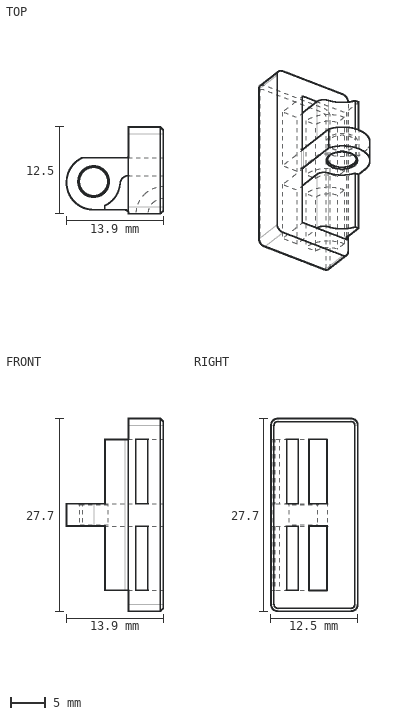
import cadquery as cq
import math


block_depth = 5.0
block_width = 12.5
block_height = 27.7
corner_radius = 1.0
rim_chamfer = 0.45

arm_thickness = 3.25
arm_top_y = 1.83
eye_x = -4.99
eye_y = -1.75
eye_radius = 3.93
arm_bottom_y = eye_y - eye_radius
arm_fillet = 0.2
hole_x = -5.0
hole_y = -1.6
hole_diameter = 4.1
hole_chamfer = 0.2

rail_height = 21.72
rail_lip_x = -3.38
rail_hollow_radius = 3.82
rail_tip_radius = 1.15
rail_tip_y = -0.75
rail_foot_length = 0.53
rail_foot_rise = 0.33

opening_height = (rail_height - arm_thickness) / 2
opening_center_z = (rail_height + arm_thickness) / 4
window_top_y = 1.8
slot_near_x = 1.05
slot_width = 1.72


def make_block():
    block = cq.Workplane("XY").box(block_depth, block_width, block_height)
    block = block.translate((block_depth / 2, 0, 0))
    return block.edges("|X").fillet(corner_radius).faces(">X").chamfer(rim_chamfer)


def make_arm():
    """Flat arm whose free end is rounded around the eye."""
    top_start_x = eye_x - math.sqrt(eye_radius**2 - (arm_top_y - eye_y) ** 2)
    return (
        cq.Workplane("XY", origin=(0, 0, -arm_thickness / 2))
        .moveTo(eye_x, arm_bottom_y)
        .threePointArc((eye_x - eye_radius, eye_y), (top_start_x, arm_top_y))
        .lineTo(-arm_fillet, arm_top_y)
        .tangentArcPoint((0, arm_top_y + arm_fillet), relative=False)
        .lineTo(0, arm_bottom_y)
        .close()
        .extrude(arm_thickness)
    )


def hollow_point(angle):
    """Point of the rail's hollow side, which is concentric with the hole."""
    return (
        hole_x + rail_hollow_radius * math.cos(angle),
        hole_y + rail_hollow_radius * math.sin(angle),
    )


def make_rail():
    """Rail with a hollow side, a rounded tip and a flared foot on the block."""
    tip_center_y = rail_tip_y - rail_tip_radius
    lip_angle = -math.acos((rail_lip_x - hole_x) / rail_hollow_radius)
    tip_angle = math.asin((tip_center_y - hole_y) / rail_hollow_radius)
    foot_radius = (rail_foot_length**2 + rail_foot_rise**2) / (2 * rail_foot_rise)
    half_foot_angle = math.asin(rail_foot_length / foot_radius) / 2
    foot_middle = (
        foot_radius * math.sin(half_foot_angle) - rail_foot_length,
        arm_bottom_y - foot_radius * (1 - math.cos(half_foot_angle)),
    )
    tip_middle = rail_tip_radius * math.sqrt(0.5)
    return (
        cq.Workplane("XY", origin=(0, 0, -rail_height / 2))
        .moveTo(rail_lip_x, arm_bottom_y)
        .lineTo(*hollow_point(lip_angle))
        .threePointArc(hollow_point((lip_angle + tip_angle) / 2), hollow_point(tip_angle))
        .threePointArc((-tip_middle, tip_center_y + tip_middle), (0, rail_tip_y))
        .lineTo(0, arm_bottom_y - rail_foot_rise)
        .threePointArc(foot_middle, (-rail_foot_length, arm_bottom_y))
        .close()
        .extrude(rail_height)
    )


def make_window():
    """Straight opening through the block beside the rail."""
    return cq.Workplane("XY").box(
        block_depth, window_top_y - rail_tip_y, opening_height
    ).translate((block_depth / 2, (window_top_y + rail_tip_y) / 2, 0))


def make_curved_slot():
    """Quarter-ring channel from the -Y side to the +X face, around their shared edge."""
    outer_radius = block_depth - slot_near_x
    inner_radius = outer_radius - slot_width
    return (
        cq.Workplane("XY", origin=(block_depth, -block_width / 2, -opening_height / 2))
        .circle(outer_radius)
        .circle(inner_radius)
        .extrude(opening_height)
    )


def make_hole():
    """Through hole with a chamfer at both ends."""
    bore_radius = hole_diameter / 2
    half = arm_thickness / 2
    return (
        cq.Workplane("XZ", origin=(hole_x, hole_y, 0))
        .moveTo(0, -half)
        .lineTo(bore_radius + hole_chamfer, -half)
        .lineTo(bore_radius, hole_chamfer - half)
        .lineTo(bore_radius, half - hole_chamfer)
        .lineTo(bore_radius + hole_chamfer, half)
        .lineTo(0, half)
        .close()
        .revolve(360, (0, 0, 0), (0, 1, 0))
    )


result = make_block().union(make_rail()).union(make_arm())
for side in (-1, 1):
    shift = (0, 0, side * opening_center_z)
    result = result.cut(make_window().translate(shift))
    result = result.cut(make_curved_slot().translate(shift))
result = result.cut(make_hole())